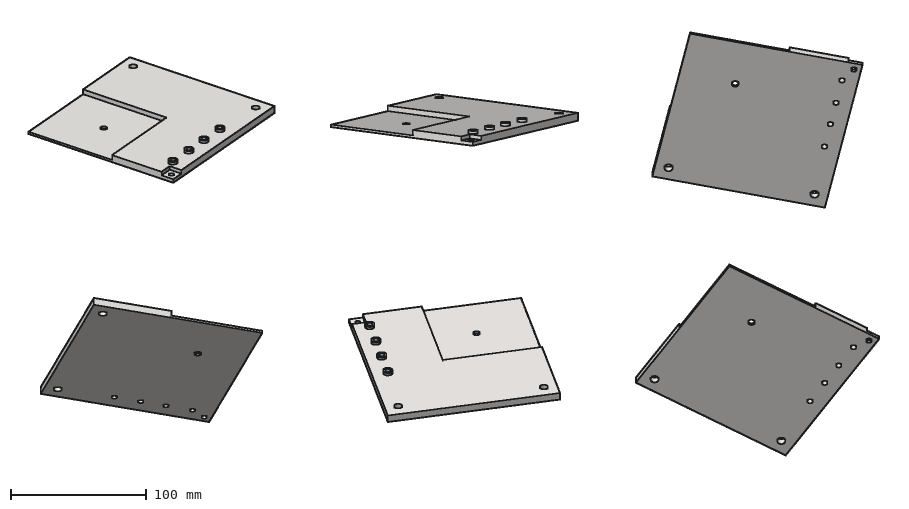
import cadquery as cq

plate_side = 130.0
plate_thickness = 6.0

recess_length = 75.0
recess_width = 70.0
recess_floor = 2.0
recess_hole_diameter = 5.0
recess_hole_x = 42.0
recess_hole_y = 36.5

notch_side = 10.5
notch_depth = 3.0
notch_hole_diameter = 4.0
notch_hole_inset = 5.5

mounting_hole_diameter = 6.0
mounting_hole_inset = 10.0

boss_diameter = 7.0
boss_hole_diameter = 4.0
boss_height = 2.1
boss_inset = 12.0
first_boss_y = 16.6
boss_pair_spacing = 20.4
boss_pair_offset = 39.9

boss_x = plate_side - boss_inset
boss_points = [
    (boss_x, first_boss_y + pair_shift + boss_shift)
    for pair_shift in (0, boss_pair_offset)
    for boss_shift in (0, boss_pair_spacing)
]


def block(x, y, z, length, width, height):
    """Box whose lowest corner is at (x, y, z)."""
    return cq.Workplane("XY").box(length, width, height, centered=False).translate((x, y, z))


def cylinders(points, diameter, bottom, height):
    """Upright cylinders standing on the level Z = bottom."""
    return cq.Workplane("XY", origin=(0, 0, bottom)).pushPoints(points).circle(diameter / 2).extrude(height)


def through_holes(points, diameter):
    """Cutters that pass through the plate and the bosses."""
    return cylinders(points, diameter, 0, plate_thickness + boss_height)


plate = block(0, 0, 0, plate_side, plate_side, plate_thickness)
recess = block(0, 0, recess_floor, recess_length, recess_width, plate_thickness - recess_floor)
notch = block(
    plate_side - notch_side, 0, plate_thickness - notch_depth,
    notch_side, notch_side, notch_depth,
)
result = plate.cut(recess).cut(notch)

result = result.union(cylinders(boss_points, boss_diameter, plate_thickness, boss_height))

rear_hole_y = plate_side - mounting_hole_inset
mounting_points = [(mounting_hole_inset, rear_hole_y), (plate_side - mounting_hole_inset, rear_hole_y)]
result = result.cut(through_holes(mounting_points, mounting_hole_diameter))
result = result.cut(through_holes([(recess_hole_x, recess_hole_y)], recess_hole_diameter))
result = result.cut(through_holes([(plate_side - notch_hole_inset, notch_hole_inset)], notch_hole_diameter))
result = result.cut(through_holes(boss_points, boss_hole_diameter))